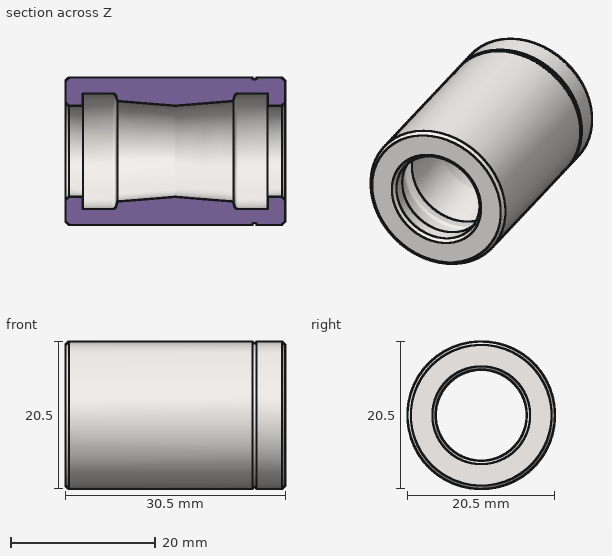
import cadquery as cq
import math

length = 30.5
outer_radius = 20.5 / 2
land_radius = 12.6 / 2
edge_chamfer = 0.5
middle = length / 2

collar_length = 4.0
groove_radius = 0.27

recess_radius = 16.0 / 2
land_length = 2.45
recess_floor_length = 4.12
recess_fillet = 0.5
rib_face_tilt = 15.0
rib_mouth_radius = 6.95


def sleeve_blank():
    """Plain tube with chamfered rims at both ends."""
    tube = cq.Workplane("YZ").circle(outer_radius).circle(land_radius).extrude(length)
    return tube.faces("<X or >X").chamfer(edge_chamfer)


def left_bore_relief():
    """Left half of the bore relief: a filleted recess, then a cone narrowing to the rib's waist."""
    tilt = math.radians(rib_face_tilt)
    fillet_sweep = math.pi / 2 - tilt
    fillet_start = land_length + recess_floor_length
    fillet_center_radius = recess_radius - recess_fillet

    def fillet_point(angle):
        """Point on the fillet, with the angle measured from its start on the recess floor."""
        return (
            fillet_start + recess_fillet * math.sin(angle),
            fillet_center_radius + recess_fillet * math.cos(angle),
        )

    face_start, face_outer_radius = fillet_point(fillet_sweep)
    rib_mouth = face_start + (face_outer_radius - rib_mouth_radius) * math.tan(tilt)
    return (
        cq.Workplane("XY")
        .moveTo(land_length, 0)
        .lineTo(land_length, recess_radius)
        .lineTo(fillet_start, recess_radius)
        .threePointArc(fillet_point(fillet_sweep / 2), (face_start, face_outer_radius))
        .lineTo(rib_mouth, rib_mouth_radius)
        .lineTo(middle, land_radius)
        .lineTo(middle, 0)
        .close()
        .revolve(360, (0, 0, 0), (1, 0, 0))
    )


def ring_groove():
    """Ring of round section centred on the outer surface."""
    groove_center = length - collar_length - groove_radius
    return (
        cq.Workplane("XY")
        .moveTo(groove_center, outer_radius)
        .circle(groove_radius)
        .revolve(360, (0, 0, 0), (1, 0, 0))
    )


left_relief = left_bore_relief()
right_relief = left_relief.mirror("YZ", (middle, 0, 0))
result = sleeve_blank().cut(left_relief).cut(right_relief).cut(ring_groove())